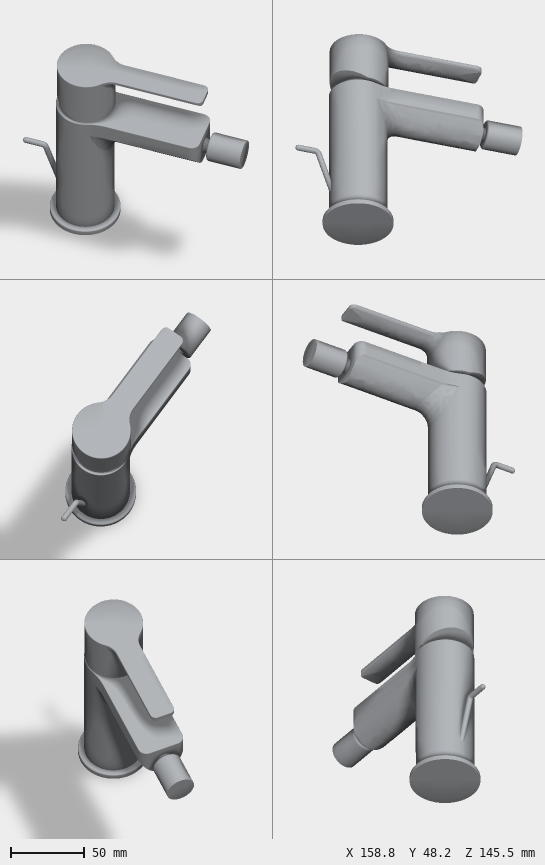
import cadquery as cq
import math

BASE_D = 48.2
BASE_H = 3.85
BASE_EDGE_R = 0.8
BODY_R = 19.9
BODY_TOP = 107.3
BODY_EDGE_R = 0.5

SPOUT_END = 85.8
SPOUT_HALF_W = 16.4
SPOUT_SIDE_BOTTOM = 95.1
SPOUT_BOTTOM = 82.6
SPOUT_CORNER_R = 6.0
SPOUT_BLEND_R = 36.0
SPOUT_FLARE_REACH = 10.5
SPOUT_FLARE_DROP = 12.2
SPOUT_SIDE_EDGE = 1.0
SPOUT_END_EDGE = 1.0

AERATOR_Z = 95.2
AERATOR_R = 10.0
AERATOR_START = 89.8
AERATOR_END = 114.2
AERATOR_EDGE_R = 1.4
NECK_R = 9.5 / 2
NECK_FLARE = 0.7
NECK_FLARE_LENGTH = 1.4
NECK_EMBED = 5.0

DOME_FOOT_R = 17.85
DOME_R = 20.0

HEAD_X = 0.7
HEAD_R = 20.0
HEAD_BOTTOM = 109.6
HEAD_BACK_BOTTOM = 119.1
LEVER_TOP = 145.52
LEVER_END = 86.4
LEVER_HALF_W = 8.7
LEVER_SIDE_BOTTOM = 143.2
LEVER_ROOT_BOTTOM = 139.5
LEVER_END_BOTTOM = 140.7
LEVER_CORNER_R = 4.0
LEVER_BLEND_R = 13.0
LEVER_FLARE_REACH = 5.5
LEVER_FLARE_DROP = 6.3
LEVER_EDGE_R = 0.5
LEVER_SIDE_EDGE = 0.8
LEVER_RELIEF_LENGTH = 13.0
LEVER_RELIEF_HEIGHT = 1.3

ROD_R = 2.0
ROD_TIP_X = -44.57
ROD_TIP_R = 1.9
ROD_Z = 54.7
ROD_CORNER_X = -28.8
ROD_BEND_R = 3.0
ROD_TURN = math.radians(71.5)
ROD_LEG = 45.0

FLARE_STATIONS = 5
ROOT_EMBED = 0.05
ROOT_BEVEL_SHARE = 0.1

POLE_DEPTH = 4 / 3
PARABOLA_FULLNESS = 1 / 3

OVERLAP = 1.0


def blend_reach(radius, half_width, blend_r):
    """Distance from the disc centre to where the arm's straight sides begin."""
    return math.sqrt((radius + blend_r) ** 2 - (half_width + blend_r) ** 2)


def blended_plan(radius, half_width, length, blend_r, corner_r, bottom, top):
    """Upright disc with a straight arm along +X, joined by tangent concave arcs."""
    reach = blend_reach(radius, half_width, blend_r)
    blend_y = half_width + blend_r
    share = radius / (radius + blend_r)
    tangent_x = reach * share
    tangent_y = blend_y * share
    mid_x = (tangent_x + reach) / 2
    mid_y = blend_y - math.sqrt(blend_r**2 - (reach - mid_x) ** 2)
    plan = (
        cq.Workplane("XY", origin=(0, 0, bottom))
        .moveTo(length, half_width)
        .lineTo(reach, half_width)
        .threePointArc((mid_x, mid_y), (tangent_x, tangent_y))
        .threePointArc((-radius, 0), (tangent_x, -tangent_y))
        .threePointArc((mid_x, -mid_y), (reach, -half_width))
        .lineTo(length, -half_width)
        .close()
        .extrude(top - bottom)
    )
    return plan.edges("|Z and >X").fillet(corner_r)


def crown_section(upper_x, half_width, side_bottom, lower_x, bottom, edge, fullness=PARABOLA_FULLNESS):
    """Closed wire in a plane leaning from an upper chord to the lowest point of a rounded underside.

    The corners below the chord are bevelled over the height given by edge. A fullness of one third
    makes the underside a parabola, and higher values make it rounder.
    """
    lean = (lower_x - upper_x) / (side_bottom - bottom)
    rim_x = upper_x + lean * edge
    rim_y = half_width - edge
    rim_z = side_bottom - edge
    left_top = cq.Vector(upper_x, half_width, side_bottom)
    right_top = cq.Vector(upper_x, -half_width, side_bottom)
    left_rim = cq.Vector(rim_x, rim_y, rim_z)
    right_rim = cq.Vector(rim_x, -rim_y, rim_z)
    pole_x = rim_x + (lower_x - rim_x) * POLE_DEPTH
    pole_y = rim_y * fullness
    pole_z = rim_z + (bottom - rim_z) * POLE_DEPTH
    left_pole = cq.Vector(pole_x, pole_y, pole_z)
    right_pole = cq.Vector(pole_x, -pole_y, pole_z)
    edges = [
        cq.Edge.makeLine(right_top, left_top),
        cq.Edge.makeLine(left_top, left_rim),
        cq.Edge.makeBezier([left_rim, left_pole, right_pole, right_rim]),
        cq.Edge.makeLine(right_rim, right_top),
    ]
    return cq.Wire.assembleEdges(edges)


def crowned_underside(
    radius,
    half_width,
    length,
    blend_r,
    corner_r,
    side_bottom,
    root_bottom,
    end_bottom,
    edge,
    flare_reach,
    flare_drop,
    relief_length,
    relief_height,
):
    """Crowned lower part of an arm, flaring sideways and downward into the disc wall."""
    reach = blend_reach(radius, half_width, blend_r)
    blend_y = half_width + blend_r
    blend_angle = math.asin(reach / (radius + blend_r))
    flare_end = radius + flare_reach

    root_x = radius * math.sin(blend_angle)
    root_width = radius * math.cos(blend_angle)
    root_fullness = 1 - (radius - root_x) * POLE_DEPTH * root_x / root_width**2

    flare_wires = []
    for i in range(FLARE_STATIONS):
        t = i / (FLARE_STATIONS - 1)
        side_angle = blend_angle * (1 - t)
        under_angle = math.pi / 2 * t
        embed = ROOT_EMBED * (1 - t)
        upper_x = reach - blend_r * math.sin(side_angle) - embed
        width = blend_y - blend_r * math.cos(side_angle)
        lower_x = flare_end - flare_reach * math.cos(under_angle) - embed
        bottom = root_bottom - flare_drop * (1 - math.sin(under_angle))
        fullness = root_fullness + (PARABOLA_FULLNESS - root_fullness) * t
        bevel = edge * (ROOT_BEVEL_SHARE + (1 - ROOT_BEVEL_SHARE) * t)
        flare_wires.append(crown_section(upper_x, width, side_bottom, lower_x, bottom, bevel, fullness))
    flare = cq.Workplane(cq.Solid.makeLoft(flare_wires))

    bar_end = crown_section(length, half_width, side_bottom, length, end_bottom, edge)
    bar = cq.Workplane(cq.Solid.makeLoft([flare_wires[-1], bar_end], True))
    rounded = (
        cq.Workplane("XY", origin=(0, 0, root_bottom - OVERLAP))
        .rect(2 * length, 2 * half_width)
        .extrude(side_bottom - root_bottom + OVERLAP)
        .edges("|Z and >X")
        .fillet(corner_r)
    )
    relief_start = length - relief_length
    taper = (end_bottom - root_bottom) / (length - flare_end)
    relief = (
        cq.Workplane("XZ")
        .moveTo(relief_start, end_bottom - taper * relief_length)
        .lineTo(length, end_bottom + relief_height)
        .lineTo(length, root_bottom - OVERLAP)
        .lineTo(relief_start, root_bottom - OVERLAP)
        .close()
        .extrude(half_width, both=True)
    )
    return flare.union(bar.intersect(rounded).cut(relief))


def make_body():
    base = cq.Workplane("XY").circle(BASE_D / 2).extrude(BASE_H).faces(">Z").edges().fillet(BASE_EDGE_R)
    column = cq.Workplane("XY").circle(BODY_R).extrude(BODY_TOP - OVERLAP)
    upper = blended_plan(
        BODY_R, SPOUT_HALF_W, SPOUT_END, SPOUT_BLEND_R, SPOUT_CORNER_R, SPOUT_SIDE_BOTTOM, BODY_TOP
    )
    upper = upper.faces(">Z").edges().fillet(BODY_EDGE_R)
    under = crowned_underside(
        BODY_R,
        SPOUT_HALF_W,
        SPOUT_END,
        SPOUT_BLEND_R,
        SPOUT_CORNER_R,
        SPOUT_SIDE_BOTTOM,
        SPOUT_BOTTOM,
        SPOUT_BOTTOM,
        SPOUT_SIDE_EDGE,
        SPOUT_FLARE_REACH,
        SPOUT_FLARE_DROP,
        SPOUT_END_EDGE,
        SPOUT_END_EDGE,
    )
    return base.union(column).union(upper).union(under)


def make_aerator():
    """Neck and aerator turned about a horizontal axis."""
    start = SPOUT_END - NECK_EMBED
    wide = NECK_R + NECK_FLARE
    return (
        cq.Workplane("XZ", origin=(0, 0, AERATOR_Z))
        .moveTo(start, 0)
        .lineTo(start, wide)
        .lineTo(SPOUT_END, wide)
        .lineTo(SPOUT_END + NECK_FLARE_LENGTH, NECK_R)
        .lineTo(AERATOR_START, NECK_R)
        .lineTo(AERATOR_START, AERATOR_R - AERATOR_EDGE_R)
        .radiusArc((AERATOR_START + AERATOR_EDGE_R, AERATOR_R), AERATOR_EDGE_R)
        .lineTo(AERATOR_END, AERATOR_R)
        .lineTo(AERATOR_END, 0)
        .close()
        .revolve(360, (0, 0, 0), (1, 0, 0))
    )


def make_dome():
    """Ball cap standing on the body top and closed inside the lever head."""
    center_z = BODY_TOP - math.sqrt(DOME_R**2 - DOME_FOOT_R**2)
    ball = cq.Workplane("XY", origin=(0, 0, center_z)).sphere(DOME_R)
    keep = cq.Workplane("XY", origin=(0, 0, BODY_TOP - OVERLAP)).circle(DOME_FOOT_R).extrude(2 * DOME_R)
    return ball.intersect(keep)


def make_lever():
    length = LEVER_END - HEAD_X
    head_height = LEVER_TOP - HEAD_BOTTOM - OVERLAP
    head = cq.Workplane("XY", origin=(0, 0, HEAD_BOTTOM)).circle(HEAD_R).extrude(head_height)
    upper = blended_plan(
        HEAD_R, LEVER_HALF_W, length, LEVER_BLEND_R, LEVER_CORNER_R, LEVER_SIDE_BOTTOM, LEVER_TOP
    )
    upper = upper.faces(">Z").edges().fillet(LEVER_EDGE_R)
    under = crowned_underside(
        HEAD_R,
        LEVER_HALF_W,
        length,
        LEVER_BLEND_R,
        LEVER_CORNER_R,
        LEVER_SIDE_BOTTOM,
        LEVER_ROOT_BOTTOM,
        LEVER_END_BOTTOM,
        LEVER_SIDE_EDGE,
        LEVER_FLARE_REACH,
        LEVER_FLARE_DROP,
        LEVER_RELIEF_LENGTH,
        LEVER_RELIEF_HEIGHT,
    )
    back_relief = (
        cq.Workplane("XZ")
        .polyline([(-HEAD_R, HEAD_BOTTOM), (0, HEAD_BOTTOM), (-HEAD_R, HEAD_BACK_BOTTOM)])
        .close()
        .extrude(HEAD_R, both=True)
    )
    return upper.union(under).union(head.cut(back_relief)).translate((HEAD_X, 0, 0))


def make_rod():
    setback = ROD_BEND_R * math.tan(ROD_TURN / 2)
    bend_x = ROD_CORNER_X - setback
    tip = (
        cq.Workplane("YZ", origin=(ROD_TIP_X, 0, ROD_Z))
        .circle(ROD_R)
        .extrude(bend_x - ROD_TIP_X)
        .faces("<X")
        .edges()
        .fillet(ROD_TIP_R)
    )

    def on_bend(angle):
        x = bend_x + ROD_BEND_R * math.sin(angle)
        z = ROD_Z - ROD_BEND_R * (1 - math.cos(angle))
        return x, z

    leg_x, leg_z = on_bend(ROD_TURN)
    leg_end = (leg_x + ROD_LEG * math.cos(ROD_TURN), leg_z - ROD_LEG * math.sin(ROD_TURN))
    path = (
        cq.Workplane("XZ")
        .moveTo(bend_x, ROD_Z)
        .threePointArc(on_bend(ROD_TURN / 2), (leg_x, leg_z))
        .lineTo(*leg_end)
    )
    bent = cq.Workplane("YZ", origin=(bend_x, 0, ROD_Z)).circle(ROD_R).sweep(path)
    return tip.union(bent)


faucet = make_body().union(make_aerator()).union(make_dome()).union(make_lever()).union(make_rod())
result = cq.Workplane(faucet.solids().val())